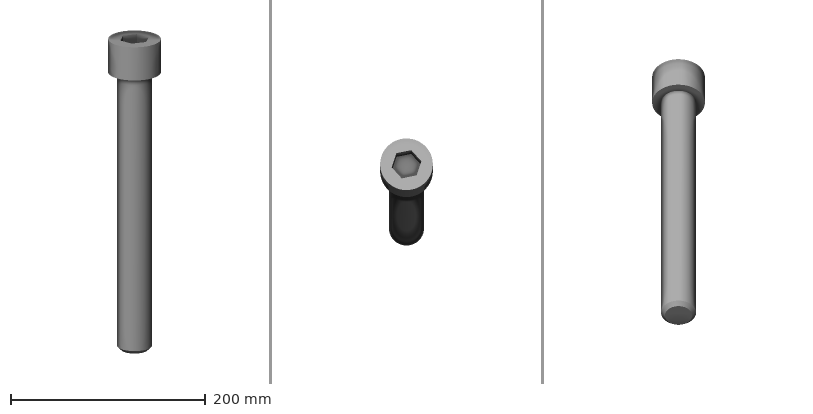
import cadquery as cq
import math

total_length = 336.0
shank_diameter = 36.0
head_diameter = 54.0
head_height = shank_diameter
thread_length = 84.0
tip_chamfer = 4.0
socket_across_flats = 27.0
socket_depth = 19.0

shank_length = total_length - head_height
plain_length = shank_length - thread_length


def make_threaded_end():
    """Threaded end modelled as a smooth cylinder with a chamfered tip."""
    end = cq.Workplane("XY").circle(shank_diameter / 2).extrude(thread_length)
    return end.faces("<Z").chamfer(tip_chamfer)


def make_plain_shank():
    shank = cq.Workplane("XY").workplane(offset=thread_length)
    return shank.circle(shank_diameter / 2).extrude(plain_length)


def make_head():
    head = cq.Workplane("XY").workplane(offset=shank_length)
    return head.circle(head_diameter / 2).extrude(head_height)


def make_socket():
    """Hexagonal drive recess with two corners on the X axis."""
    across_corners = socket_across_flats / math.cos(math.pi / 6)
    socket = cq.Workplane("XY").workplane(offset=total_length)
    return socket.polygon(6, across_corners).extrude(-socket_depth)


result = make_threaded_end().union(make_plain_shank()).union(make_head()).cut(make_socket())